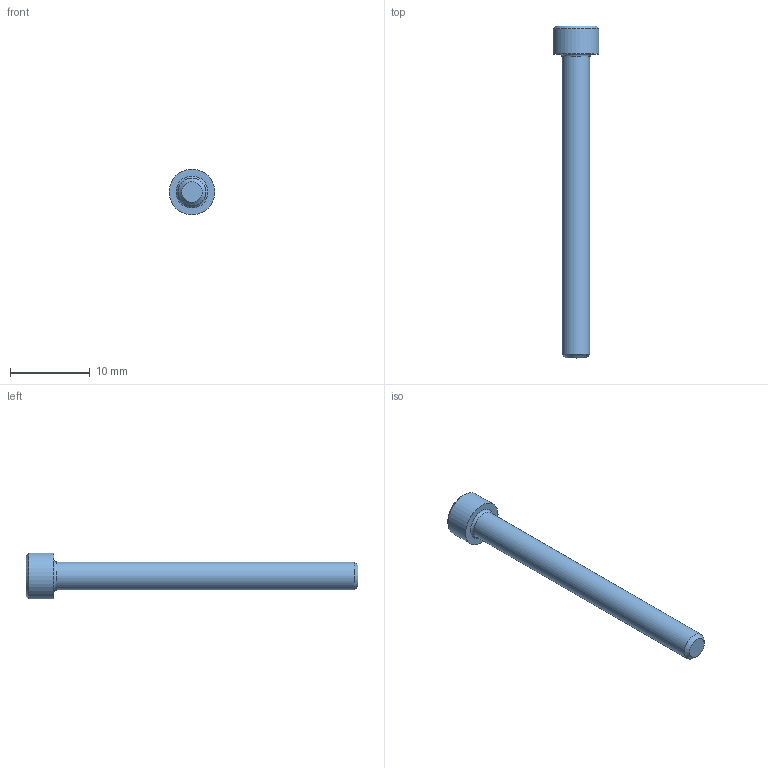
import cadquery as cq

head_diameter = 5.74
head_height = 3.505
shank_diameter = 3.505
shank_length = 38.1
head_chamfer = 0.35
tip_chamfer = 0.45
neck_diameter = 4.0
neck_height = 0.35

head_radius = head_diameter / 2
shank_radius = shank_diameter / 2
neck_radius = neck_diameter / 2

neck_rise = neck_radius - shank_radius
neck_arc_radius = (neck_height**2 + neck_rise**2) / (2 * neck_rise)

half_section = (
    cq.Workplane("XY")
    .moveTo(0, -shank_length)
    .lineTo(shank_radius - tip_chamfer, -shank_length)
    .lineTo(shank_radius, -shank_length + tip_chamfer)
    .lineTo(shank_radius, -neck_height)
    .radiusArc((neck_radius, 0), neck_arc_radius)
    .lineTo(head_radius, 0)
    .lineTo(head_radius, head_height - head_chamfer)
    .lineTo(head_radius - head_chamfer, head_height)
    .lineTo(0, head_height)
    .close()
)

result = half_section.revolve(360, (0, 0, 0), (0, 1, 0))